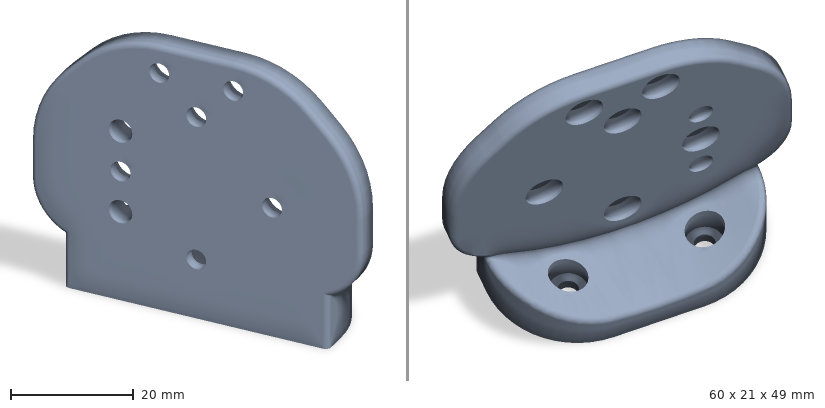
import cadquery as cq
import math

WIDTH = 60.0
HEIGHT = 49.0
THICKNESS = 5.0
CORNER_CUT = 15.0
SHOULDER_RADIUS = 20.0
LOBE_RADIUS = 10.0
SIDE_BOTTOM = 19.0
EDGE_RADIUS = 0.95

FOOT_WIDTH = 48.0
DEPTH = 21.0
FLOOR_HEIGHT = 5.0
DISH_RADIUS = 50.0
DISH_HALF_WIDTH = 20.0

SCREW_DIAMETER = 3.6
LARGE_DIAMETER = 4.25
COUNTERBORE_DIAMETER = 6.6
SEAT_THICKNESS = 2.0
CENTRE_HEIGHT = 24.0
SIDE_OFFSET = 13.75
UPPER_HOLE_HEIGHT = 37.5
LOWER_HOLE_HEIGHT = 11.0
LARGE_SPACING = 15.0
TOP_HOLE_X = 6.7
TOP_HOLE_DROP = 5.0
FOOT_HOLE_X = 12.0
FOOT_HOLE_Y = 11.0

MARGIN = 0.3
HALF_WIDTH = WIDTH / 2
HALF_FOOT = FOOT_WIDTH / 2


def plate_outline():
    """Outline on the XZ plane, drawn counterclockwise from the foot's lower left corner."""
    lobe_x = HALF_WIDTH - LOBE_RADIUS
    end_angle = math.acos((HALF_FOOT - lobe_x) / LOBE_RADIUS)
    end_z = SIDE_BOTTOM - LOBE_RADIUS * math.sin(end_angle)
    mid_x = lobe_x + LOBE_RADIUS * math.cos(end_angle / 2)
    mid_z = SIDE_BOTTOM - LOBE_RADIUS * math.sin(end_angle / 2)
    cut_x = HALF_WIDTH - CORNER_CUT
    cut_z = HEIGHT - CORNER_CUT
    return (
        cq.Workplane("XZ")
        .moveTo(-HALF_FOOT, 0)
        .lineTo(HALF_FOOT, 0)
        .lineTo(HALF_FOOT, end_z)
        .threePointArc((mid_x, mid_z), (HALF_WIDTH, SIDE_BOTTOM))
        .lineTo(HALF_WIDTH, cut_z)
        .lineTo(cut_x, HEIGHT)
        .lineTo(-cut_x, HEIGHT)
        .lineTo(-HALF_WIDTH, cut_z)
        .lineTo(-HALF_WIDTH, SIDE_BOTTOM)
        .threePointArc((-mid_x, mid_z), (-HALF_FOOT, end_z))
        .close()
    )


def make_plate():
    plate = plate_outline().extrude(-THICKNESS)
    shoulders = cq.selectors.BoxSelector(
        (-WIDTH, -MARGIN, HEIGHT - CORNER_CUT - MARGIN),
        (WIDTH, THICKNESS + MARGIN, HEIGHT + MARGIN),
    )
    plate = plate.edges("|Y").edges(shoulders).fillet(SHOULDER_RADIUS)
    rim = plate.faces("<Y or >Y").edges("not(<Z)")
    return rim.fillet(EDGE_RADIUS)


def make_foot():
    """Rounded block with a dished top and a rounded rim, starting at the plate's middle."""
    corner_radius = DEPTH - THICKNESS
    block_height = HEIGHT / 2
    start_y = THICKNESS / 2
    block = (
        cq.Workplane("XY")
        .moveTo(-HALF_FOOT, start_y)
        .lineTo(HALF_FOOT, start_y)
        .lineTo(HALF_FOOT, THICKNESS)
        .radiusArc((HALF_FOOT - corner_radius, DEPTH), -corner_radius)
        .lineTo(corner_radius - HALF_FOOT, DEPTH)
        .radiusArc((-HALF_FOOT, THICKNESS), -corner_radius)
        .close()
        .extrude(block_height)
    )
    dish_angle = math.asin(DISH_HALF_WIDTH / DISH_RADIUS)
    dish_z = FLOOR_HEIGHT + DISH_RADIUS * (1 - math.cos(dish_angle))
    crest_radius = (HALF_FOOT - DISH_HALF_WIDTH) / math.sin(dish_angle)
    crest_z = dish_z + crest_radius * (1 - math.cos(dish_angle))
    crest_drop = crest_radius * (1 - math.cos(dish_angle / 2))
    crest_mid_x = HALF_FOOT - crest_radius * math.sin(dish_angle / 2)
    crest_mid_z = crest_z - crest_drop
    space = (
        cq.Workplane("XZ")
        .moveTo(-HALF_WIDTH, crest_z)
        .lineTo(-HALF_FOOT, crest_z)
        .threePointArc((-crest_mid_x, crest_mid_z), (-DISH_HALF_WIDTH, dish_z))
        .threePointArc((0, FLOOR_HEIGHT), (DISH_HALF_WIDTH, dish_z))
        .threePointArc((crest_mid_x, crest_mid_z), (HALF_FOOT, crest_z))
        .lineTo(HALF_WIDTH, crest_z)
        .lineTo(HALF_WIDTH, HEIGHT)
        .lineTo(-HALF_WIDTH, HEIGHT)
        .close()
        .extrude(-DEPTH - MARGIN)
    )
    foot = block.cut(space)
    rim = cq.selectors.BoxSelector(
        (-WIDTH, THICKNESS + MARGIN, FLOOR_HEIGHT / 2), (WIDTH, DEPTH + MARGIN, HEIGHT)
    )
    return foot.edges(rim).edges("not(|Z)").edges("not(|Y)").fillet(EDGE_RADIUS)


def drill_plate(body, points, diameter, start_y=0):
    """Cut holes from start_y through to the back of the plate."""
    plane = cq.Workplane("XZ", origin=(0, start_y, 0))
    drill = plane.pushPoints(points).circle(diameter / 2).extrude(start_y - THICKNESS)
    return body.cut(drill)


def drill_foot(body):
    points = [(-FOOT_HOLE_X, FOOT_HOLE_Y), (FOOT_HOLE_X, FOOT_HOLE_Y)]
    plane = cq.Workplane("XY").pushPoints(points)
    through = plane.circle(SCREW_DIAMETER / 2).extrude(HEIGHT)
    bore = plane.circle(COUNTERBORE_DIAMETER / 2).extrude(HEIGHT)
    return body.cut(through).cut(bore.translate((0, 0, SEAT_THICKNESS)))


screw_points = [
    (-SIDE_OFFSET, CENTRE_HEIGHT),
    (SIDE_OFFSET, CENTRE_HEIGHT),
    (0, UPPER_HOLE_HEIGHT),
    (0, LOWER_HOLE_HEIGHT),
    (-TOP_HOLE_X, HEIGHT - TOP_HOLE_DROP),
    (TOP_HOLE_X, HEIGHT - TOP_HOLE_DROP),
]
large_points = [
    (-SIDE_OFFSET, CENTRE_HEIGHT + LARGE_SPACING / 2),
    (-SIDE_OFFSET, CENTRE_HEIGHT - LARGE_SPACING / 2),
]

result = make_plate().union(make_foot())
result = drill_foot(result)
result = drill_plate(result, screw_points, SCREW_DIAMETER)
result = drill_plate(result, large_points, LARGE_DIAMETER)
result = drill_plate(result, screw_points, COUNTERBORE_DIAMETER, SEAT_THICKNESS)